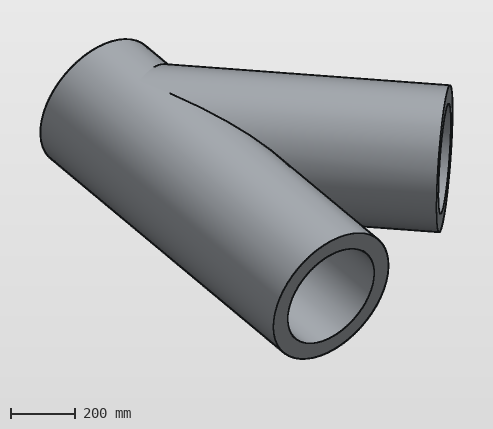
import cadquery as cq
import math

outer_diameter = 457.2
bore_diameter = 342.9
branch_angle = 45.0
short_leg = 203.2
long_leg = 952.5

branch_radians = math.radians(branch_angle)
run_direction = (1, 0, 0)
branch_direction = (math.cos(branch_radians), math.sin(branch_radians), 0)


def run_cylinder(diameter):
    """Straight cylinder along the full length of the run."""
    start = cq.Plane(origin=(-short_leg, 0, 0), normal=run_direction)
    return cq.Workplane(start).circle(diameter / 2).extrude(short_leg + long_leg)


def branch_cylinder(diameter):
    """Cylinder from the axis crossing out to the open end of the branch."""
    start = cq.Plane(origin=(0, 0, 0), normal=branch_direction)
    return cq.Workplane(start).circle(diameter / 2).extrude(long_leg)


def wye(diameter):
    """Run and branch of one diameter joined into a single solid."""
    return run_cylinder(diameter).union(branch_cylinder(diameter))


body = wye(outer_diameter)
passages = wye(bore_diameter)
result = body.cut(passages)